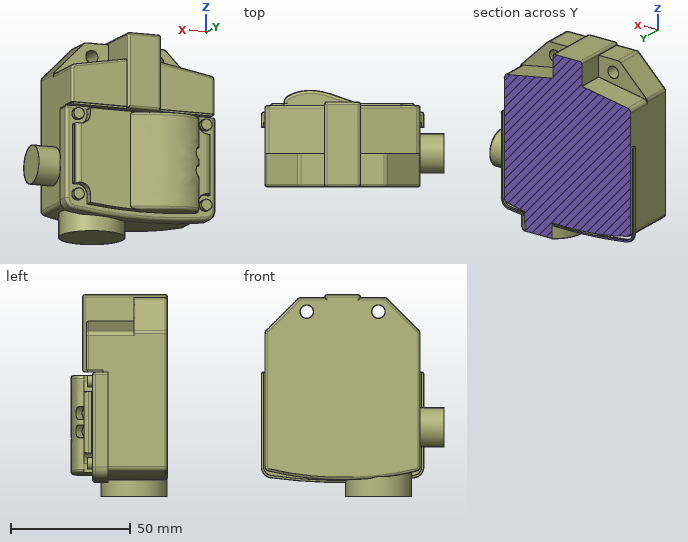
import cadquery as cq
import math

body_width = 65.0
body_depth = 34.0
plate_depth = 14.0
plate_top = 83.3
shoulder_z = 69.0
plate_chamfer = plate_top - shoulder_z
roof_angle = math.radians(10)
body_corner_z = 11.0
body_bottom_z = 7.0
corner_radius = 2.0
edge_radius = 1.0

rib_width = 15.0
rib_depth = 35.5
rib_top = 84.5

hole_diameter = 5.5
hole_spacing = 30.0
hole_z = 77.4

seat_y = 27.0
seat_top = 52.9
neck_inset = 1.0
neck_depth = 6.5

cover_width = 68.0
cover_front = 24.85
cover_face = 31.4
cover_top = 52.1
cover_bottom_z = 5.8
cover_corner_z = 8.4
cover_corner_radius = 4.5
cover_edge_radius = 1.3
rim_thickness = 0.9

panel_width = 61.0
panel_face = 35.0
panel_top = 50.7
panel_bottom_z = 8.8
panel_corner_z = 10.9
panel_edge_radius = 1.9
plinth_height = 0.5
plinth_overhang = 0.5

screw_x = 29.0
screw_z_levels = (13.9, 48.3)
screw_diameter = 4.8
screw_face = 33.5
recess_radius = 4.5

hump_left = -24.5
hump_apex_x = -13.5
hump_right = 6.2
hump_apex_y = 40.39
hump_slope_x = -0.6
hump_slope_y = 37.4
hump_run_out = (1.0, -0.36)
hump_edge_radius = 1.3

pocket_diameter = 5.5
pocket_mouth_x = -23.9
pocket_mouth_y = 36.25
pocket_tilt = math.radians(45)
pocket_z_levels = (27.3, 34.9)
pocket_depth = 3.5
pocket_lead_in = 5.0

axis_y = plate_depth
shaft_diameter = 16.5
shaft_end_x = 42.5
shaft_z = 29.0
entry_diameter = 27.8
entry_x = 15.0
entry_top = 20.0

half_body = body_width / 2
margin = 1.0


def along_y(y_start):
    """Workplane whose local axes are X and Z; negative extrusion goes towards +Y."""
    return cq.Workplane("XZ", origin=(0, y_start, 0))


def box(x_range, y_range, z_range):
    size = [end - start for start, end in (x_range, y_range, z_range)]
    corner = (x_range[0], y_range[0], z_range[0])
    return cq.Workplane("XY").box(*size, centered=False).translate(corner)


def curved_bottom_block(width, top, corner_z, bottom_z, y_start, y_end):
    """Rectangular block whose bottom is an arc bulging downwards."""
    half = width / 2
    return (
        along_y(y_start)
        .moveTo(-half, top)
        .lineTo(-half, corner_z)
        .threePointArc((0, bottom_z), (half, corner_z))
        .lineTo(half, top)
        .close()
        .extrude(y_start - y_end)
    )


def make_plate():
    half_top = half_body - plate_chamfer
    outline = (
        along_y(0)
        .moveTo(-half_top, plate_top)
        .lineTo(-half_body, shoulder_z)
        .lineTo(-half_body, body_corner_z)
        .threePointArc((0, body_bottom_z), (half_body, body_corner_z))
        .lineTo(half_body, shoulder_z)
        .lineTo(half_top, plate_top)
        .close()
    )
    return outline.extrude(-plate_depth).edges("|Y").fillet(corner_radius)


def make_rear_housing():
    ridge_z = shoulder_z + half_body * math.tan(roof_angle)
    outline = (
        along_y(plate_depth)
        .moveTo(0, ridge_z)
        .lineTo(-half_body, shoulder_z)
        .lineTo(-half_body, body_corner_z)
        .threePointArc((0, body_bottom_z), (half_body, body_corner_z))
        .lineTo(half_body, shoulder_z)
        .close()
    )
    housing = outline.extrude(plate_depth - body_depth)
    housing = housing.edges("|Y and (<X or >X)").fillet(corner_radius)
    return housing.faces(">Y").edges().fillet(edge_radius)


def make_rib():
    half_rib = rib_width / 2
    rib = box((-half_rib, half_rib), (0, rib_depth), (cover_top, rib_top))
    return rib.edges("|Y and >Z").fillet(edge_radius).faces(">Y").edges().fillet(edge_radius)


def make_body():
    body = make_plate().union(make_rib())
    body = body.faces("<Y").edges().fillet(edge_radius)
    seat = box((-half_body, half_body), (seat_y, body_depth), (0, seat_top))
    body = body.union(make_rear_housing().cut(seat))
    half_neck = half_body - neck_inset
    neck = box((-half_neck, half_neck), (seat_y, seat_y + neck_depth), (cover_top, seat_top))
    holes = (
        along_y(0)
        .pushPoints([(-hole_spacing / 2, hole_z), (hole_spacing / 2, hole_z)])
        .circle(hole_diameter / 2)
        .extrude(-plate_depth)
    )
    return body.union(neck).cut(holes)


def make_cover():
    cover = curved_bottom_block(
        cover_width, cover_top, cover_corner_z, cover_bottom_z, cover_front, cover_face
    )
    cover = cover.edges("|Y").edges("<Z").fillet(cover_corner_radius)
    cover = cover.edges("|Y and >Z").fillet(edge_radius)
    cover = cover.faces(">Y").edges().fillet(cover_edge_radius)
    clearance = curved_bottom_block(
        cover_width - 2 * rim_thickness,
        cover_top + edge_radius,
        cover_corner_z + rim_thickness,
        cover_bottom_z + rim_thickness,
        cover_front,
        seat_y,
    )
    clearance = clearance.edges("|Y").edges("<Z").fillet(cover_corner_radius - rim_thickness)
    return cover.cut(clearance)


def make_recess_mouth(x, z):
    """Straight part of a screw recess, open through the nearer end of the panel."""
    x_range = (x - recess_radius, x + recess_radius)
    middle_z = sum(screw_z_levels) / 2
    z_range = (z, panel_top) if z > middle_z else (0, z)
    return box(x_range, (cover_face, panel_face), z_range)


def make_plinth():
    """Low step along the panel sides between the screw recesses."""
    low, high = screw_z_levels
    z_range = (low + recess_radius, high - recess_radius)
    half_plinth = panel_width / 2 + plinth_overhang
    return box((-half_plinth, half_plinth), (cover_face, cover_face + plinth_height), z_range)


def make_panel():
    panel = curved_bottom_block(
        panel_width, panel_top, panel_corner_z, panel_bottom_z, cover_face, panel_face
    )
    panel = panel.faces(">Y").edges("|Z").fillet(panel_edge_radius)
    for side in (-1, 1):
        for z in screw_z_levels:
            place = along_y(cover_face).center(side * screw_x, z)
            panel = panel.cut(place.circle(recess_radius).extrude(cover_face - panel_face))
            panel = panel.cut(make_recess_mouth(side * screw_x, z))
            panel = panel.union(place.circle(screw_diameter / 2).extrude(cover_face - screw_face))
    return panel.union(make_plinth())


def make_hump():
    diagonal = math.sqrt(0.5)
    apex = (hump_apex_x, hump_apex_y)
    flank_direction = (hump_apex_x - hump_left, hump_apex_y - panel_face)
    flank_point = (
        hump_apex_x - flank_direction[0] * diagonal,
        panel_face + flank_direction[1] * diagonal,
    )
    section = (
        cq.Workplane("XY")
        .moveTo(hump_left, cover_face)
        .lineTo(hump_left, panel_face)
        .spline(
            [flank_point, apex, (hump_slope_x, hump_slope_y), (hump_right, panel_face)],
            tangents=[(0, 1), flank_direction, (1, 0), hump_run_out, hump_run_out],
            includeCurrent=True,
        )
        .lineTo(hump_right, cover_face)
        .close()
    )
    outline_face = hump_apex_y + margin
    outline = curved_bottom_block(
        panel_width, panel_top, panel_corner_z, panel_bottom_z, cover_face, outline_face
    )
    hump = section.extrude(panel_top).intersect(outline)
    above_panel = cq.selectors.BoxSelector(
        (hump_left, panel_face, 0), (hump_right, outline_face, panel_top + margin)
    )
    hump = hump.edges(above_panel).edges("not |Z").fillet(hump_edge_radius)
    inward = cq.Vector(math.cos(pocket_tilt), -math.sin(pocket_tilt), 0)
    for z in pocket_z_levels:
        start = cq.Vector(pocket_mouth_x, pocket_mouth_y, z) - inward * pocket_lead_in
        length = pocket_lead_in + pocket_depth
        pocket = cq.Solid.makeCylinder(pocket_diameter / 2, length, start, inward)
        hump = hump.cut(cq.Workplane(pocket))
    return hump


def make_shaft():
    shaft = cq.Workplane("YZ").center(axis_y, shaft_z).circle(shaft_diameter / 2)
    return shaft.extrude(shaft_end_x)


def make_cable_entry():
    entry = cq.Workplane("XY").center(entry_x, axis_y).circle(entry_diameter / 2)
    return entry.extrude(entry_top)


result = (
    make_body()
    .union(make_cover())
    .union(make_panel())
    .union(make_hump())
    .union(make_shaft())
    .union(make_cable_entry())
)